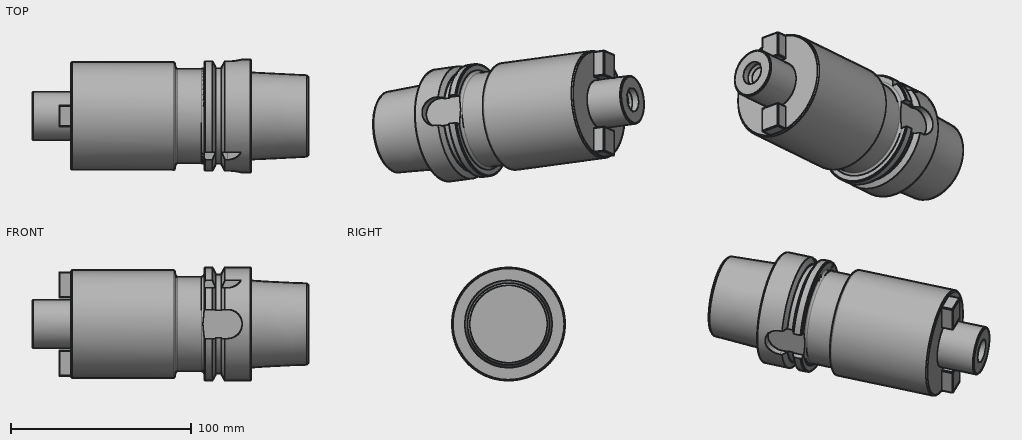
import cadquery as cq
import math

length = 153.5
body_start = 21.5
body_end = 78.3
neck_start = 80.6
flange_start = 95.5
flange_end = 121.5
groove_center = 103.5

spigot_dia = 27.0
body_dia = 60.0
neck_dia = 52.7
flange_dia = 63.0
groove_floor_dia = 55.3
taper_root_dia = 48.5
taper_ratio = 0.1

edge_chamfer = 0.6
body_chamfer = 0.8
blend_pull = 1.7
neck_fillet = 1.5
taper_end_chamfer = 1.2

groove_width = 6.9
groove_floor_width = 3.0
groove_flank_angle = 30.0

key_width = 12.0
key_height = 6.6
key_inner = 14.6
key_outer = 28.9
key_chamfer = 0.5

bore_dia = 13.0
bore_floor_dia = 10.0
bore_wall_depth = 4.0

slot_width = 16.1
slot_end = 116.5
slot_floor = 26.5
notch_corner = 20.1
notch_end_radius = 8.9
notch_floor_end = 108.4


def turned_body():
    """Spigot, body, neck, flange and taper shank revolved about X."""
    spigot_r = spigot_dia / 2
    body_r = body_dia / 2
    neck_r = neck_dia / 2
    flange_r = flange_dia / 2
    groove_r = groove_floor_dia / 2
    taper_root_r = taper_root_dia / 2
    half_mouth = groove_width / 2
    half_floor = groove_floor_width / 2
    flank_r = flange_r - (half_mouth - half_floor) / math.tan(math.radians(groove_flank_angle))
    taper_end = length - taper_end_chamfer
    taper_end_r = taper_root_r - (taper_end - flange_end) * taper_ratio / 2
    fillet_mid = neck_fillet * math.sqrt(0.5)

    profile = (
        cq.Workplane("XY")
        .lineTo(0, spigot_r - edge_chamfer)
        .lineTo(edge_chamfer, spigot_r)
        .lineTo(body_start, spigot_r)
        .lineTo(body_start, body_r - body_chamfer)
        .lineTo(body_start + body_chamfer, body_r)
        .lineTo(body_end, body_r)
        .bezier([
            (body_end, body_r),
            (body_end + blend_pull, body_r),
            (neck_start - blend_pull, neck_r),
            (neck_start, neck_r),
        ])
        .lineTo(flange_start - neck_fillet, neck_r)
        .threePointArc(
            (flange_start - neck_fillet + fillet_mid, neck_r + neck_fillet - fillet_mid),
            (flange_start, neck_r + neck_fillet),
        )
        .lineTo(flange_start, flange_r - edge_chamfer)
        .lineTo(flange_start + edge_chamfer, flange_r)
        .lineTo(groove_center - half_mouth, flange_r)
        .lineTo(groove_center - half_floor, flank_r)
        .lineTo(groove_center - half_floor, groove_r)
        .lineTo(groove_center + half_floor, groove_r)
        .lineTo(groove_center + half_floor, flank_r)
        .lineTo(groove_center + half_mouth, flange_r)
        .lineTo(flange_end - edge_chamfer, flange_r)
        .lineTo(flange_end, flange_r - edge_chamfer)
        .lineTo(flange_end, taper_root_r)
        .lineTo(taper_end, taper_end_r)
        .lineTo(length, taper_end_r - taper_end_chamfer)
        .lineTo(length, 0)
        .close()
    )
    return profile.revolve(360, (0, 0, 0), (1, 0, 0))


def drive_key(side):
    """Key block on the body face, above (+1) or below (-1) the spigot."""
    center_z = side * (key_inner + key_outer) / 2
    return (
        cq.Workplane("XY")
        .box(key_height, key_width, key_outer - key_inner)
        .edges("not(>X)").chamfer(key_chamfer)
        .translate((body_start - key_height / 2, 0, center_z))
    )


def spigot_bore():
    """Blind bore whose wall ends in a 45 degree cone down to a smaller flat floor."""
    bore_r = bore_dia / 2
    floor_r = bore_floor_dia / 2
    bore_depth = bore_wall_depth + bore_r - floor_r
    return (
        cq.Workplane("XY")
        .lineTo(0, bore_r)
        .lineTo(bore_wall_depth, bore_r)
        .lineTo(bore_depth, floor_r)
        .lineTo(bore_depth, 0)
        .close()
        .revolve(360, (0, 0, 0), (1, 0, 0))
    )


def drive_slot(side):
    """Round-ended flange slot on the +Y (+1) or -Y (-1) side."""
    slot_r = slot_width / 2
    arc_center = slot_end - slot_r
    start = flange_start - neck_fillet
    return (
        cq.Workplane("XZ", origin=(0, side * slot_floor, 0))
        .moveTo(start, -slot_r)
        .lineTo(arc_center, -slot_r)
        .threePointArc((slot_end, 0), (arc_center, slot_r))
        .lineTo(start, slot_r)
        .close()
        .extrude(-side * flange_dia / 2)
    )


def orientation_notch():
    """Square-cornered notch in the rim between -Y and +Z, running out along an arc."""
    arc_angle = math.radians(45)
    arc_center_z = notch_corner + notch_end_radius
    arc_mid = (
        notch_floor_end + notch_end_radius * math.sin(arc_angle),
        arc_center_z - notch_end_radius * math.cos(arc_angle),
    )
    return (
        cq.Workplane("XZ", origin=(0, -notch_corner, 0))
        .moveTo(flange_start, notch_corner)
        .lineTo(notch_floor_end, notch_corner)
        .threePointArc(arc_mid, (notch_floor_end + notch_end_radius, arc_center_z))
        .lineTo(flange_start, arc_center_z)
        .close()
        .extrude(flange_dia / 2)
    )


result = turned_body()
for side in (1, -1):
    result = result.union(drive_key(side))
    result = result.cut(drive_slot(side))
result = result.cut(spigot_bore()).cut(orientation_notch())